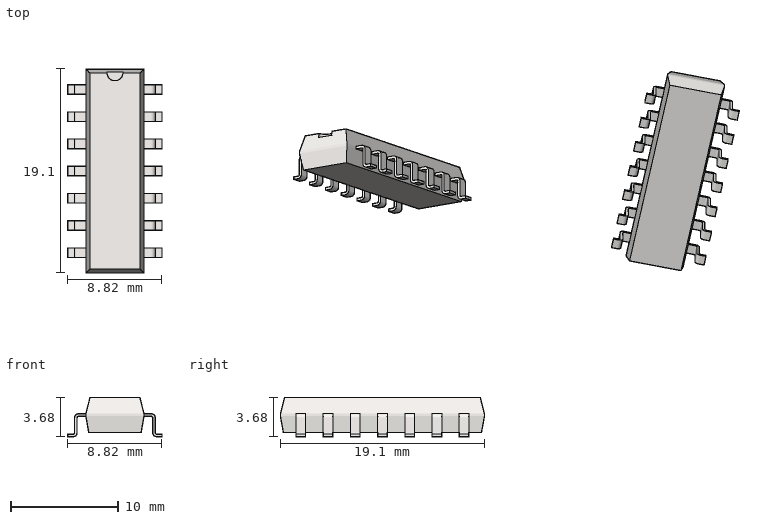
import cadquery as cq

body_width = 5.44
body_length = 19.05
top_width = 4.67
top_length = 18.28
bottom_width = 4.9
bottom_length = 18.5
total_height = 3.68
standoff = 0.38

lead_thickness = 0.254
lead_width = 0.914
lead_pitch = 2.54
leads_per_row = 7
lead_span = 8.82
foot_length = 0.635
inner_bend_radius = 0.127
outer_bend_radius = inner_bend_radius + lead_thickness
lead_embed = 0.5

notch_radius = 0.74
notch_depth = 0.42
notch_overhang = 0.03
notch_center_y = top_length / 2 + notch_overhang

band_height = lead_thickness
band_middle = (total_height + standoff) / 2
band_bottom = band_middle - band_height / 2
band_top = band_middle + band_height / 2


def tapered_block(start_z, start_size, end_z, end_size):
    """Solid lofted between two centred rectangles at different heights."""
    return (
        cq.Workplane("XY", origin=(0, 0, start_z))
        .rect(*start_size)
        .workplane(offset=end_z - start_z)
        .rect(*end_size)
        .loft(ruled=True)
    )


def make_body():
    band_size = (body_width, body_length)
    lower = tapered_block(standoff, (bottom_width, bottom_length), band_bottom, band_size)
    band = tapered_block(band_bottom, band_size, band_top, band_size)
    upper = tapered_block(band_top, band_size, total_height, (top_width, top_length))
    return lower.union(band).union(upper)


def cut_notch(body):
    cutter = (
        cq.Workplane("XY", origin=(0, notch_center_y, total_height - notch_depth))
        .circle(notch_radius)
        .extrude(notch_depth)
    )
    return body.cut(cutter)


def make_lead(center_y):
    """One lead on the -X side: flat foot, upright leg and shoulder running into the body."""
    toe_x = -lead_span / 2
    leg_outer_x = toe_x + foot_length
    leg_inner_x = leg_outer_x + lead_thickness
    root_x = -body_width / 2 + lead_embed
    profile = (
        cq.Workplane("XZ", origin=(0, center_y + lead_width / 2, 0))
        .moveTo(toe_x, 0)
        .lineTo(leg_inner_x - outer_bend_radius, 0)
        .radiusArc((leg_inner_x, outer_bend_radius), -outer_bend_radius)
        .lineTo(leg_inner_x, band_bottom - inner_bend_radius)
        .radiusArc((leg_inner_x + inner_bend_radius, band_bottom), inner_bend_radius)
        .lineTo(root_x, band_bottom)
        .lineTo(root_x, band_top)
        .lineTo(leg_outer_x + outer_bend_radius, band_top)
        .radiusArc((leg_outer_x, band_top - outer_bend_radius), -outer_bend_radius)
        .lineTo(leg_outer_x, lead_thickness + inner_bend_radius)
        .radiusArc((leg_outer_x - inner_bend_radius, lead_thickness), inner_bend_radius)
        .lineTo(toe_x, lead_thickness)
        .close()
    )
    return profile.extrude(lead_width)


def add_leads(body):
    first_y = -lead_pitch * (leads_per_row - 1) / 2
    for index in range(leads_per_row):
        lead = make_lead(first_y + index * lead_pitch)
        body = body.union(lead).union(lead.mirror("YZ"))
    return body


result = add_leads(cut_notch(make_body()))